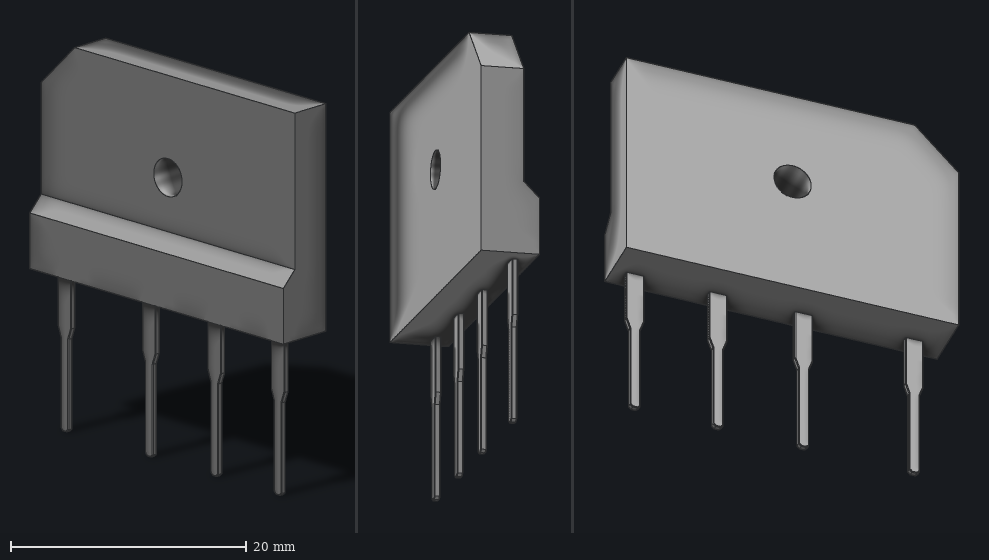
import cadquery as cq

total_height = 34.55
body_width = 30.3
body_depth = 5.15

body_height = 20.3
slab_depth = 3.75
foot_height = 4.97
foot_bevel = body_depth - slab_depth
corner_chamfer = 4.0
hole_diameter = 3.4
hole_height = 11.2

lead_length = total_height - body_height
lead_thickness = 0.52
shank_width = 1.62
shank_length = 4.9
leg_width = 0.93
taper_length = 1.0
tip_chamfer = 0.25
edge_chamfer = 0.07
lead_positions = [-12.35, -2.28, 5.53, 13.1]

slab_front = body_depth - slab_depth
half_width = body_width / 2


def make_body():
    """Stepped slab with one chamfered top corner and a mounting hole."""
    side_profile = [
        (0, 0),
        (body_depth, 0),
        (body_depth, body_height),
        (slab_front, body_height),
        (slab_front, foot_height + foot_bevel),
        (0, foot_height),
    ]
    body = cq.Workplane("YZ").polyline(side_profile).close().extrude(half_width, both=True)
    body = body.edges("|Y and <X and >Z").chamfer(corner_chamfer)
    hole = (
        cq.Workplane("XZ")
        .center(0, hole_height)
        .circle(hole_diameter / 2)
        .extrude(-body_depth)
    )
    return body.cut(hole)


def make_lead(x):
    """Lead hanging from the body underside, flush with the slab front."""
    half_shank = shank_width / 2
    half_leg = leg_width / 2
    outline = [
        (-half_shank, 0),
        (-half_shank, -shank_length),
        (-half_leg, -shank_length - taper_length),
        (-half_leg, -lead_length),
        (half_leg, -lead_length),
        (half_leg, -shank_length - taper_length),
        (half_shank, -shank_length),
        (half_shank, 0),
    ]
    lead = cq.Workplane("XZ").polyline(outline).close().extrude(-lead_thickness)
    lead = lead.faces("<Z").edges("|Y").chamfer(tip_chamfer)
    flat_face_edges = lead.faces("<Y or >Y").edges("not >Z")
    lead = flat_face_edges.chamfer(edge_chamfer)
    return lead.translate((x, slab_front, 0))


body = make_body()
leads = [make_lead(x) for x in lead_positions]

result = cq.Compound.makeCompound([body.val(), *[lead.val() for lead in leads]])